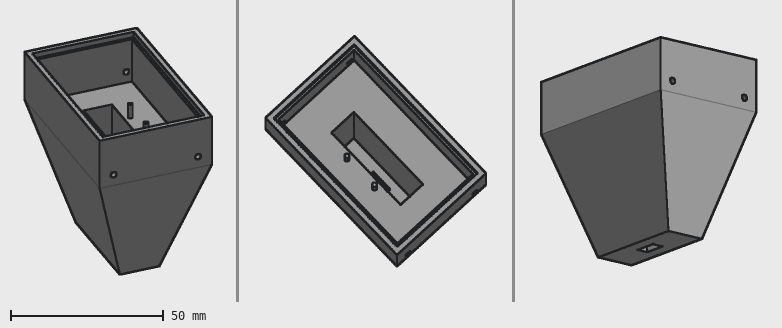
import cadquery as cq

length = 63.0
width = 40.0
height = 61.0

box_height = 18.0
base_height = height - box_height

rim_wall = 2.0
seat_width = 1.0
seat_depth = 2.0
box_wall = rim_wall + seat_width

slot_length = 33.1
slot_width = 10.0
slot_x = -0.7
slot_wall = 2.0
foot_length = slot_length + 2 * slot_wall
foot_width = slot_width + 2 * slot_wall

opening_length = 8.0
opening_width = 4.0

pin_diameter = 1.6
pin_height = 5.0
pin_spacing = 13.2
pin_root = 0.6
pin_y = 7.4

side_hole_diameter = 2.0
side_hole_spacing = 30.0
side_hole_z = height - 14.0


def block(size_x, size_y, bottom, top, x=0):
    """Upright rectangular block between two heights."""
    return (
        cq.Workplane("XY", origin=(x, 0, bottom))
        .rect(size_x, size_y)
        .extrude(top - bottom)
    )


base = (
    cq.Workplane("XY")
    .center(slot_x, 0)
    .rect(foot_length, foot_width)
    .workplane(offset=base_height)
    .center(-slot_x, 0)
    .rect(length, width)
    .loft(ruled=True)
)
body = base.union(block(length, width, base_height, height))

body = body.cut(block(length - 2 * box_wall, width - 2 * box_wall, base_height, height))
body = body.cut(block(length - 2 * rim_wall, width - 2 * rim_wall, height - seat_depth, height))

body = body.cut(block(slot_length, slot_width, slot_wall, base_height, slot_x))
body = body.cut(block(opening_length, opening_width, 0, slot_wall, slot_x))

side_holes = (
    cq.Workplane("YZ", origin=(-length / 2, 0, side_hole_z))
    .pushPoints([(-side_hole_spacing / 2, 0), (side_hole_spacing / 2, 0)])
    .circle(side_hole_diameter / 2)
    .extrude(length)
)
body = body.cut(side_holes)

pins = (
    cq.Workplane("XY", origin=(slot_x, pin_y, base_height - pin_root))
    .pushPoints([(-pin_spacing / 2, 0), (pin_spacing / 2, 0)])
    .circle(pin_diameter / 2)
    .extrude(pin_root + pin_height)
)
result = body.union(pins)